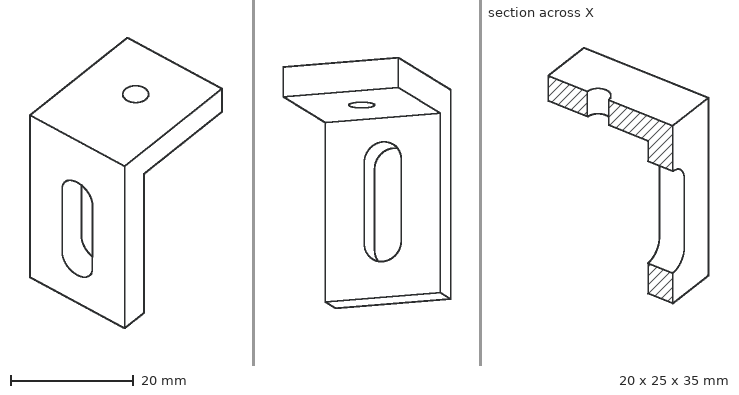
import cadquery as cq

width = 20.0
depth = 25.0
height = 35.0
thickness = 5.0

slot_width = 6.4
slot_length = 20.0
slot_center_height = 16.0

hole_diameter = 4.2
hole_from_back = 10.0


def bracket_body():
    """L profile in the YZ plane, extruded symmetrically along X."""
    profile = [
        (0, 0),
        (thickness, 0),
        (thickness, height - thickness),
        (depth, height - thickness),
        (depth, height),
        (0, height),
    ]
    return cq.Workplane("YZ").polyline(profile).close().extrude(width / 2, both=True)


def upright_slot():
    """Round-ended cutter passing through the upright leg along +Y."""
    return (
        cq.Workplane("XZ")
        .center(0, slot_center_height)
        .slot2D(slot_length, slot_width, 90)
        .extrude(-thickness)
    )


def top_hole():
    """Cylindrical cutter passing through the top leg along Z."""
    return (
        cq.Workplane("XY", origin=(0, depth - hole_from_back, height - thickness))
        .circle(hole_diameter / 2)
        .extrude(thickness)
    )


result = bracket_body().cut(upright_slot()).cut(top_hole())